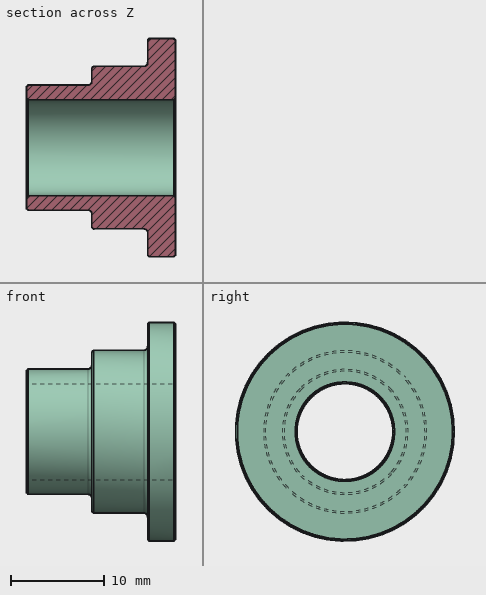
import cadquery as cq

total_length = 16.0
spigot_length = 7.0
flange_thickness = 3.0

flange_diameter = 23.5
shoulder_diameter = 17.5
spigot_diameter = 13.5
bore_diameter = 10.3

edge_chamfer = 0.2
root_fillet = 0.4

shoulder_length = total_length - spigot_length - flange_thickness


def disc(start_x, length, diameter):
    """Solid cylinder along +X."""
    return (
        cq.Workplane("YZ", origin=(start_x, 0, 0))
        .circle(diameter / 2)
        .extrude(length)
    )


def circle_at(x, diameter):
    """Selector for the circular edge of a given diameter in the plane at x."""
    margin = 0.02
    radius = diameter / 2 + margin
    return cq.selectors.BoxSelector(
        (x - margin, -radius, -radius), (x + margin, radius, radius), boundingbox=True
    ) - cq.selectors.BoxSelector(
        (x - margin, -radius + 2 * margin, -radius + 2 * margin),
        (x + margin, radius - 2 * margin, radius - 2 * margin),
        boundingbox=True,
    )


shoulder_x = spigot_length
flange_x = spigot_length + shoulder_length

body = disc(0, spigot_length, spigot_diameter)
body = body.union(disc(shoulder_x, shoulder_length, shoulder_diameter))
body = body.union(disc(flange_x, flange_thickness, flange_diameter))

body = body.cut(disc(0, total_length, bore_diameter))

for root_x, diameter in ((shoulder_x, spigot_diameter), (flange_x, shoulder_diameter)):
    body = body.edges(circle_at(root_x, diameter)).fillet(root_fillet)

rims = (
    (0, spigot_diameter),
    (shoulder_x, shoulder_diameter),
    (flange_x, flange_diameter),
    (total_length, flange_diameter),
    (0, bore_diameter),
    (total_length, bore_diameter),
)
for rim_x, diameter in rims:
    body = body.edges(circle_at(rim_x, diameter)).chamfer(edge_chamfer)

result = body